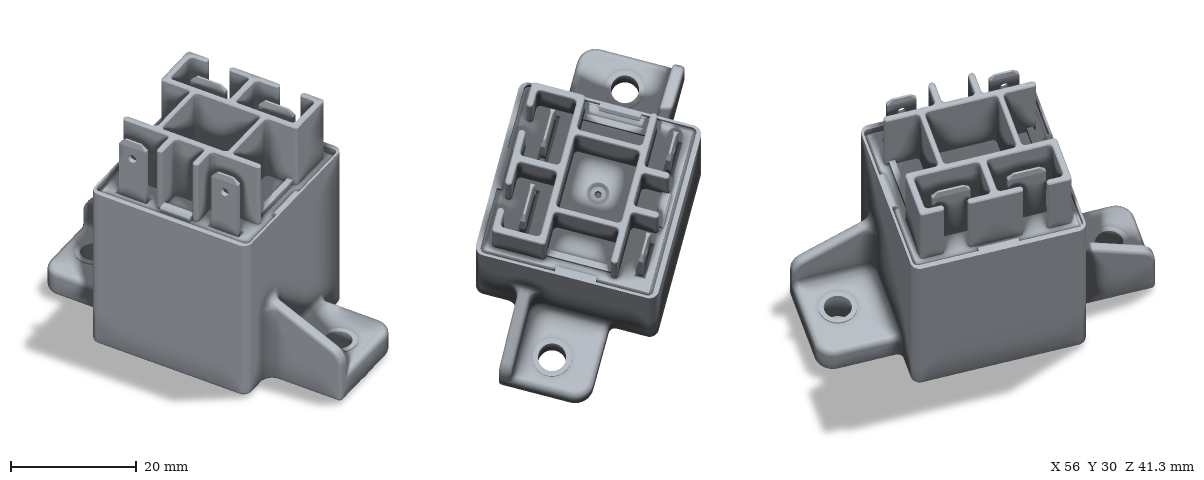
import cadquery as cq
import math

TOL = 0.05

BODY_X = 29.0
BODY_Y = 30.0
BODY_Z = 30.0
BODY_CORNER = 1.5
BASE_ROUND = 0.5

OVERALL_X = 56
EAR_FLOOR_Z = 4.55
EAR_CORNER = 3.0
EAR_ROUND = 1.0
LEFT_EAR_HALF_Y = 7.45
RIGHT_EAR_HALF_Y = 8.5
RIB_T = 2.0
RIB_SLOPE = 25
RIB_TIP_Z = 8.95
RIB_TIP_ROUND = 3.0
RIB_EDGE_ROUND = 0.6
RIB_ROOT_ROUND = 1.95
RIB_FOOT_ROUND = 0.95
HOLE_X = 22.5
HOLE_D = 4.5
SLEEVE_D = 6.15
SLEEVE_RISE = 0.2
FOOT_D = 10.1
FOOT_H = 0.5
SMALL_FOOT_D = 5.05
SMALL_FOOT_AT = (1.5, -11.2)

DECK_Z = 29.25
RECESS_HALF_X = 14.1
RECESS_HALF_Y = 14.15
RECESS_CORNER = 0.85
DECK_HALF = 13.8
DECK_FRONT_Y = -13.55
DECK_CHAMFER = 0.35
DECK_CORNER = 0.55
GROOVE_Z = 28.7
TAB_LENGTH = 6.7
TAB_INNER = 13.1
TAB_RAMP = 0.45

WALL_TOP = 40.75
WALL_T = 1.1
WALL_HALF = 12.6
WALL_ROUND = 0.7
WALL_END_ROUND = 0.53
WALL_TOP_CHAMFER = 0.15
BACK_GAP_OUTER = 8.5
BACK_GAP_INNER = 4.6
MID_BAR_Y = 3.8
LOWER_BAR_Y = -8.05
WELL_Y = (MID_BAR_Y + LOWER_BAR_Y + WALL_T) / 2
WELL_HALF_X = 5.8
WELL_TOP_HALF_X = 6.05
BAY_HALF_X = 2.75
BAY_END_Y = -12.45
LIP_TOP = 30.25
SIDE_LIP_X = (10.9, 11.9)
FRONT_LIP_Y = (-13.0, -11.25)
FRONT_LIP_CHAMFER = 0.35

DIMPLE_D = 3.7
DIMPLE_FLOOR_D = 2.7
DIMPLE_DEPTH = 0.55
PIN_HOLE_D = 1.1
PIN_HOLE_DEPTH = 1.1

BLADE_T = 0.8
BLADE_TOP = 40.05
BLADE_TIP = 1.0
BLADE_BEVEL = 0.2
BLADE_BASE_TOP = 30.25
FRONT_BLADE = {"x": 8.5, "y": -11.5, "width": 4.9, "base": 4.9, "slot": 5.95}
BACK_BLADE = {"x": 6.3, "y": 8.35, "width": 6.3, "base": 7.9, "slot": 8.7}
SLOT_T = 1.8
SLOT_DEPTH = 1.0
BLADE_HOLE_D = 1.5
BLADE_HOLE_Z = 36.85


def box(x0, x1, y0, y1, z0, z1):
    """Box between two opposite corners, in any order."""
    size = (abs(x1 - x0), abs(y1 - y0), abs(z1 - z0))
    corner = (min(x0, x1), min(y0, y1), min(z0, z1))
    return cq.Workplane("XY").box(*size, centered=False).translate(corner)


def near(value, *targets):
    return any(abs(value - target) < TOL for target in targets)


def rounded_block(half_x, half_y, z0, z1, corner):
    return (
        cq.Workplane("XY").workplane(offset=z0)
        .rect(2 * half_x, 2 * half_y)
        .extrude(z1 - z0)
        .edges("|Z").fillet(corner)
    )


def add_ear(housing, half_y):
    """Add an ear on the -X side: a flat pad with an upright tapering rib along its +Y edge."""
    tip_x = -OVERALL_X / 2
    root_x = -BODY_X / 2
    slope = math.tan(math.radians(RIB_SLOPE))
    root_z = RIB_TIP_Z + (root_x - tip_x) * slope
    ridge_z = RIB_TIP_Z - tip_x * slope

    def at_root(edge):
        bounds = edge.BoundingBox()
        on_face = near(bounds.xmin, root_x) and near(bounds.xmax, root_x)
        return on_face and abs(edge.Center().y) < half_y + TOL and TOL < bounds.zmax < root_z + TOL

    def along_rib_rim(edge):
        bounds = edge.BoundingBox()
        on_side = bounds.ymax - bounds.ymin < TOL
        return on_side and bounds.xmin < -TOL and bounds.zmax > TOL

    def along_pad_rim(edge):
        return edge.Center().x < -TOL and edge.Center().y < half_y - RIB_T

    rib = (
        cq.Workplane("XZ", origin=(0, half_y, 0))
        .polyline([(tip_x, 0), (0, 0), (0, ridge_z), (tip_x, RIB_TIP_Z)])
        .close()
        .extrude(RIB_T)
    )
    rib_tip = cq.selectors.NearestToPointSelector((tip_x, half_y - RIB_T / 2, RIB_TIP_Z))
    rib = rib.edges(rib_tip).fillet(RIB_TIP_ROUND)
    rib = rib.edges().filter(along_rib_rim).fillet(RIB_EDGE_ROUND)
    ribbed = housing.union(rib).edges().filter(at_root).fillet(RIB_ROOT_ROUND)

    pad = box(tip_x, 0, -half_y, half_y - RIB_T / 2, 0, EAR_FLOOR_Z)
    pad = pad.edges("|Z and <X and <Y").fillet(EAR_CORNER)
    pad = pad.faces(">Z").edges().filter(along_pad_rim).fillet(EAR_ROUND)
    padded = housing.union(pad)
    padded = padded.edges().filter(lambda edge: at_root(edge) and edge.Center().y < half_y - RIB_T)
    padded = padded.fillet(EAR_ROUND)

    rib_foot = cq.selectors.NearestToPointSelector((-HOLE_X, half_y - RIB_T, EAR_FLOOR_Z))
    return ribbed.union(padded).edges(rib_foot).fillet(RIB_FOOT_ROUND)


def half_turn(shape):
    return shape.rotate((0, 0, 0), (0, 0, 1), 180)


def make_housing():
    """Solid block with two opposite ears, each with its rib on the opposite side."""
    housing = rounded_block(BODY_X / 2, BODY_Y / 2, 0, BODY_Z, BODY_CORNER)
    housing = add_ear(housing, LEFT_EAR_HALF_Y)
    housing = half_turn(add_ear(half_turn(housing), RIGHT_EAR_HALF_Y))
    return housing.faces("<Z").edges().fillet(BASE_ROUND)


def disc(at, diameter, z0, z1):
    return cq.Workplane("XY", origin=(at[0], at[1], z0)).circle(diameter / 2).extrude(z1 - z0)


def add_mounting_holes(housing):
    """Feet below the ears and the body, and a sleeve around each through hole."""
    for x in (-HOLE_X, HOLE_X):
        housing = housing.union(disc((x, 0), FOOT_D, -FOOT_H, BASE_ROUND))
        housing = housing.union(disc((x, 0), SLEEVE_D, 0, EAR_FLOOR_Z + SLEEVE_RISE))
        housing = housing.cut(disc((x, 0), HOLE_D, -FOOT_H, EAR_FLOOR_Z + SLEEVE_RISE))
    return housing.union(disc(SMALL_FOOT_AT, SMALL_FOOT_D, -FOOT_H, BASE_ROUND))


def recess_top(housing):
    """Sink the deck below the rim, leaving a narrow groove and three latch tabs around it."""
    housing = housing.cut(rounded_block(RECESS_HALF_X, RECESS_HALF_Y, GROOVE_Z, BODY_Z, RECESS_CORNER))
    deck = box(-DECK_HALF, DECK_HALF, DECK_FRONT_Y, DECK_HALF, GROOVE_Z, DECK_Z)
    deck = deck.edges("|Z and >Y").fillet(DECK_CORNER)
    deck = deck.faces(">Z").edges(">Y or >X or <X").chamfer(DECK_CHAMFER)
    housing = housing.union(deck)

    half = TAB_LENGTH / 2
    for side in (-1, 1):
        tab = box(side * TAB_INNER, side * RECESS_HALF_X, WELL_Y - half, WELL_Y + half, GROOVE_Z, BODY_Z)
        inner_edge = "<X" if side > 0 else ">X"
        housing = housing.union(tab.faces(">Z").edges(inner_edge).chamfer(TAB_RAMP))
    back_tab = box(-half, half, TAB_INNER, RECESS_HALF_Y, GROOVE_Z, BODY_Z)
    return housing.union(back_tab.faces(">Z").edges("<Y").chamfer(TAB_RAMP))


def make_well():
    """Square well, slightly wider along X at its mouth than at the deck."""
    length = MID_BAR_Y - LOWER_BAR_Y - WALL_T

    def outline(half_x):
        return cq.Sketch().rect(2 * half_x, length).vertices().fillet(WALL_ROUND)

    return (
        cq.Workplane("XY", origin=(0, WELL_Y, DECK_Z))
        .placeSketch(
            outline(WELL_HALF_X),
            outline(WELL_TOP_HALF_X).moved(cq.Location(cq.Vector(0, 0, WALL_TOP - DECK_Z))),
        )
        .loft()
    )


def make_socket_walls():
    """Upright walls: two open chambers at the back, a square well, and a small bay in front."""
    inner = WALL_HALF - WALL_T
    mid_top = MID_BAR_Y + WALL_T
    lower_top = LOWER_BAR_Y + WALL_T

    def wall(x0, x1, y0, y1):
        return box(x0, x1, y0, y1, DECK_Z, WALL_TOP)

    walls = wall(-WALL_HALF, WALL_HALF, MID_BAR_Y, mid_top)
    walls = walls.union(wall(-WALL_HALF, WALL_HALF, LOWER_BAR_Y, lower_top))
    walls = walls.union(wall(-BACK_GAP_INNER, BACK_GAP_INNER, inner, WALL_HALF))
    walls = walls.union(wall(-WALL_T / 2, WALL_T / 2, mid_top, inner))
    well_outer = WELL_HALF_X + WALL_T
    walls = walls.union(wall(-well_outer, well_outer, LOWER_BAR_Y, mid_top))
    for side in (-1, 1):
        walls = walls.union(wall(side * inner, side * WALL_HALF, MID_BAR_Y, WALL_HALF))
        walls = walls.union(wall(side * BACK_GAP_OUTER, side * WALL_HALF, inner, WALL_HALF))
        walls = walls.union(wall(side * BAY_HALF_X, side * (BAY_HALF_X + WALL_T), BAY_END_Y, LOWER_BAR_Y))
    walls = walls.clean()

    def at_gap(at):
        return near(abs(at.x), BACK_GAP_INNER, BACK_GAP_OUTER) and at.y > inner - TOL

    def at_side(at):
        return near(abs(at.x), WALL_HALF)

    def inside_corner(edge):
        at = edge.Center()
        on_bar = near(at.y, inner, mid_top, MID_BAR_Y, lower_top, LOWER_BAR_Y)
        return on_bar and not at_side(at) and not at_gap(at)

    def outer_corner_or_end(edge):
        at = edge.Center()
        return at_side(at) or at_gap(at) or near(at.y, BAY_END_Y)

    walls = walls.edges("|Z").filter(inside_corner).fillet(WALL_ROUND)
    walls = walls.edges("|Z").filter(outer_corner_or_end).fillet(WALL_END_ROUND)
    walls = walls.cut(make_well())
    return walls.faces(">Z").edges().chamfer(WALL_TOP_CHAMFER)


def add_lips(part):
    """Low bars across the open sides of the side pockets and the front bay."""
    for side in (-1, 1):
        x0, x1 = SIDE_LIP_X
        part = part.union(box(side * x0, side * x1, LOWER_BAR_Y + WALL_T, MID_BAR_Y, DECK_Z, LIP_TOP))
    front_lip = box(-BAY_HALF_X, BAY_HALF_X, *FRONT_LIP_Y, DECK_Z, LIP_TOP)
    return part.union(front_lip.faces(">Z").edges("|X").chamfer(FRONT_LIP_CHAMFER))


def cut_dimple(part):
    center = (0, WELL_Y)
    floor_z = DECK_Z - DIMPLE_DEPTH
    cone = (
        cq.Workplane("XY", origin=(*center, DECK_Z))
        .circle(DIMPLE_D / 2)
        .workplane(offset=-DIMPLE_DEPTH)
        .circle(DIMPLE_FLOOR_D / 2)
        .loft()
    )
    return part.cut(cone).cut(disc(center, PIN_HOLE_D, floor_z - PIN_HOLE_DEPTH, floor_z))


def blade(width, base_width):
    """Flat terminal with cut corners, a bevelled tip and a base at the deck, centred on the Z axis."""
    half = width / 2
    tip_z = BLADE_TOP - BLADE_TIP
    foot = DECK_Z - SLOT_DEPTH
    face = [(-half, foot), (half, foot), (half, tip_z)]
    face += [(half - BLADE_TIP, BLADE_TOP), (BLADE_TIP - half, BLADE_TOP), (-half, tip_z)]
    plate = cq.Workplane("XZ").polyline(face).close().extrude(BLADE_T / 2, both=True)
    plate = plate.faces(">Z").edges("|X").chamfer(BLADE_TIP, BLADE_BEVEL)
    base = box(-base_width / 2, base_width / 2, -BLADE_T / 2, BLADE_T / 2, foot, BLADE_BASE_TOP)
    return plate.union(base)


def add_terminals(part):
    """Four blades standing in tapered slots; the front pair has a small hole in each."""
    for row in (FRONT_BLADE, BACK_BLADE):
        for x in (-row["x"], row["x"]):
            slot = (
                cq.Workplane("XY", origin=(x, row["y"], DECK_Z))
                .rect(row["slot"], SLOT_T)
                .workplane(offset=-SLOT_DEPTH)
                .rect(row["base"], BLADE_T)
                .loft()
            )
            terminal = blade(row["width"], row["base"])
            if row is FRONT_BLADE:
                hole = cq.Workplane("XZ", origin=(0, 0, BLADE_HOLE_Z)).circle(BLADE_HOLE_D / 2)
                terminal = terminal.cut(hole.extrude(BLADE_T, both=True))
            part = part.cut(slot).union(terminal.translate((x, row["y"], 0)))
    return part


result = recess_top(add_mounting_holes(make_housing()))
result = result.union(make_socket_walls())
result = add_lips(result)
result = cut_dimple(result)
result = add_terminals(result)